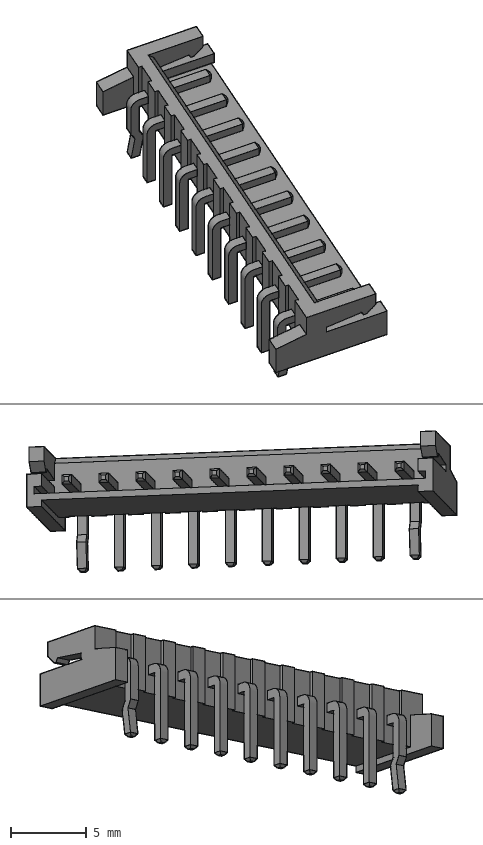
import cadquery as cq


length = 27.5
height = 4.24
depth_behind_wall = 5.95
arm_thickness = 1.02
inner_length = length - 2 * arm_thickness
wall_thickness = 1.48
wall_lead_in = 0.4
underside = 0.45
floor_thickness = 0.45
floor_top = underside + floor_thickness

foot_reach = 2.25
shelf_height = 2.23
foot_top_at_wall = 2.65
jaw_gap_at_wall = 2.67
jaw_gap_at_hook = 2.92
jaw_setback = 0.82
jaw_end_height = 3.25
hook_height = 2.65
hook_tip_back = 4.43
hook_tip_front = 4.2
hook_root = 4.05

side_slot_height = 0.5
side_slot_depth = 0.5

pin_count = 10
pitch = length / (pin_count + 1)
pin_size = 0.63
pin_top = 2.35
pin_front = -1.07
pin_back_tip = 4.95
pin_bottom = -3.15
bend_radius = 0.7
tip_length = 0.2
tip_inset = 0.16
half_pin = pin_size / 2

kink_start = -0.7
kink_peak = -1.25
kink_offset = 0.3
kink_end_offset = 0.03

groove_width = 1.48
groove_depth = 0.25

pin_back = pin_front + pin_size
pin_positions = [(i - (pin_count - 1) / 2) * pitch for i in range(pin_count)]


def extrude_along_x(points, width, x_center):
    """Extrude a closed (y, z) outline to the given width, centred on x_center."""
    outline = cq.Workplane("YZ", origin=(x_center, 0, 0)).polyline(points).close()
    return outline.extrude(width / 2, both=True)


def make_wall_and_floor():
    outline = [
        (0, underside),
        (depth_behind_wall, underside),
        (depth_behind_wall, floor_top),
        (wall_thickness, floor_top),
        (wall_thickness, height - wall_lead_in),
        (wall_thickness - wall_lead_in, height),
        (0, height),
    ]
    return extrude_along_x(outline, inner_length, 0)


def make_end_arm(x_center):
    """Arm with a front foot, a rear shelf and a hooked jaw above the shelf."""
    jaw_end = depth_behind_wall - jaw_setback
    outline = [
        (-foot_reach, 0),
        (depth_behind_wall, 0),
        (depth_behind_wall, shelf_height),
        (wall_thickness, shelf_height),
        (wall_thickness, jaw_gap_at_wall),
        (hook_root, jaw_gap_at_hook),
        (hook_tip_front, hook_height),
        (hook_tip_back, hook_height),
        (jaw_end, jaw_end_height),
        (jaw_end, height),
        (0, height),
        (0, foot_top_at_wall),
        (-foot_reach, shelf_height),
    ]
    return extrude_along_x(outline, arm_thickness, x_center)


def make_side_slots():
    """Bar that opens a slot into both arms, from the wall to their rear ends."""
    outline = [
        (wall_thickness, floor_top),
        (depth_behind_wall, floor_top),
        (depth_behind_wall, floor_top + side_slot_height),
        (wall_thickness, floor_top + side_slot_height),
    ]
    return extrude_along_x(outline, inner_length + 2 * side_slot_depth, 0)


def make_groove(x_center):
    groove = cq.Workplane("XY").box(groove_width, groove_depth, height, centered=(True, False, False))
    return groove.translate((x_center, 0, 0))


def make_tip(plane, root, tip_travel, x_center):
    """Blunt pyramid that ends a pin, growing from root by a signed travel along the plane's normal."""
    end_size = pin_size - 2 * tip_inset
    base = cq.Workplane(plane, origin=(x_center, *root)).rect(pin_size, pin_size)
    return base.workplane(offset=tip_travel).rect(end_size, end_size).loft()


def make_pin(x_center, kinked):
    """Square pin bent down at the front, with a tapered tip at both ends."""
    mating_end = pin_back_tip - tip_length
    tail_end = pin_bottom + tip_length
    tail_shift = kink_end_offset if kinked else 0
    kink = [(kink_start, 0), (kink_peak, kink_offset)] if kinked else []
    tail = kink + [(tail_end, tail_shift)]

    bend_y = pin_front + bend_radius
    bend_z = pin_top - bend_radius
    pin_underside = pin_top - pin_size

    body = cq.Workplane("YZ", origin=(x_center, 0, 0)).moveTo(mating_end, pin_top)
    body = body.lineTo(bend_y, pin_top)
    body = body.tangentArcPoint((pin_front, bend_z), relative=False)
    for z, shift in tail:
        body = body.lineTo(pin_front + shift, z)
    for z, shift in reversed(tail):
        body = body.lineTo(pin_back + shift, z)
    body = body.lineTo(pin_back, bend_z)
    body = body.radiusArc((bend_y, pin_underside), bend_radius - pin_size)
    body = body.lineTo(mating_end, pin_underside).close()
    body = body.extrude(half_pin, both=True)

    mating_tip = make_tip("ZX", (mating_end, pin_top - half_pin), tip_length, x_center)
    tail_tip = make_tip("XY", (pin_front + tail_shift + half_pin, tail_end), -tip_length, x_center)
    return body.union(mating_tip).union(tail_tip)


result = make_wall_and_floor()

arm_center = (length - arm_thickness) / 2
for side in (-1, 1):
    result = result.union(make_end_arm(side * arm_center))
result = result.cut(make_side_slots())

for x in pin_positions:
    result = result.cut(make_groove(x))

for x in pin_positions:
    is_outer = x in (pin_positions[0], pin_positions[-1])
    result = result.union(make_pin(x, is_outer))